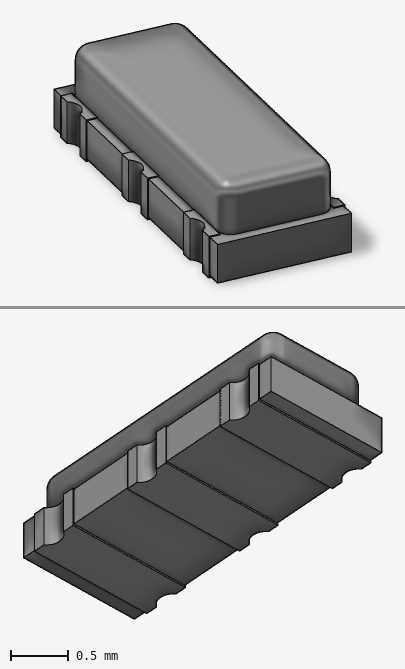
import cadquery as cq

base_length = 3.2
base_width = 1.3
base_height = 0.38

terminal_count = 3
terminal_pitch = 1.2
terminal_length = 0.5
pad_thickness = 0.02
plating_thickness = 0.01

groove_width = 0.25
groove_radius = 0.15

lid_length_margin = 0.1
lid_width = 1.1
lid_height = 0.5
lid_radius = 0.15

base_top = pad_thickness + base_height
terminal_width = base_width + 2 * plating_thickness
terminal_height = base_top + plating_thickness
lid_length = base_length - 2 * lid_length_margin
groove_axis_offset = (groove_radius**2 - (groove_width / 2) ** 2) ** 0.5
groove_axis_y = terminal_width / 2 + groove_axis_offset


def block(length, width, height, bottom):
    """Box centred on the Z axis, standing at the given height."""
    return (
        cq.Workplane("XY")
        .workplane(offset=bottom)
        .box(length, width, height, centered=(True, True, False))
    )


def make_base():
    return block(base_length, base_width, base_height, pad_thickness)


def make_lid():
    lid = block(lid_length, lid_width, lid_height, base_top)
    return lid.edges("|Z").fillet(lid_radius).faces(">Z").edges().fillet(lid_radius)


def make_terminal():
    """Full-width band, open on top between the lines of the lid's long sides."""
    band = block(terminal_length, terminal_width, terminal_height, 0)
    opening = block(terminal_length, lid_width, terminal_height, pad_thickness)
    return band.cut(opening)


def make_groove_pair():
    return (
        cq.Workplane("XY")
        .pushPoints([(0, -groove_axis_y), (0, groove_axis_y)])
        .circle(groove_radius)
        .extrude(terminal_height)
    )


result = make_base().union(make_lid())
for index in range(terminal_count):
    terminal_x = (index - (terminal_count - 1) / 2) * terminal_pitch
    result = result.union(make_terminal().translate((terminal_x, 0, 0)))
    result = result.cut(make_groove_pair().translate((terminal_x, 0, 0)))